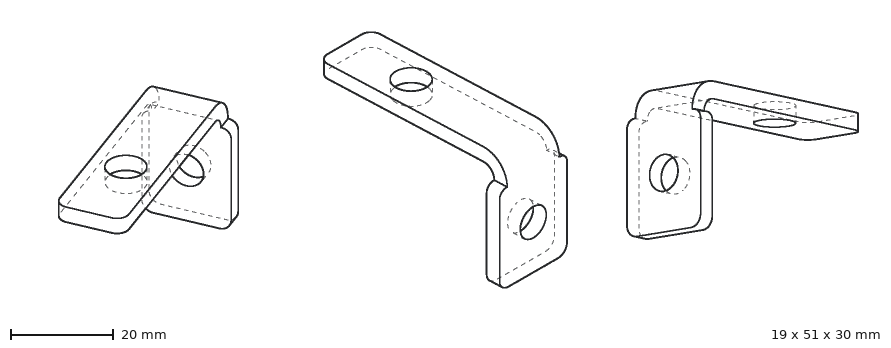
import cadquery as cq

length = 51.0
height = 30.0
thickness = 3.5
plate_width = 19.0
strap_width = 14.7

outer_bend_radius = 6.5
inner_bend_radius = outer_bend_radius - thickness
corner_radius = 2.5
shoulder_radius = 2.0

plate_hole_diameter = 7.3
strap_hole_diameter = 8.2
strap_hole_from_end = 17.95

plate_height = height - outer_bend_radius
plate_hole_z = plate_height / 2



def bent_strap():
    """Horizontal strap with a quarter bend ending at the top of the plate."""
    underside = height - thickness
    bend_start = length - outer_bend_radius
    strap = (
        cq.Workplane("YZ")
        .moveTo(0, underside)
        .lineTo(bend_start, underside)
        .radiusArc((length - thickness, plate_height), inner_bend_radius)
        .lineTo(length, plate_height)
        .radiusArc((bend_start, height), -outer_bend_radius)
        .lineTo(0, height)
        .close()
        .extrude(strap_width / 2, both=True)
    )
    return strap.edges("|Z and <Y").fillet(corner_radius)


def upright_plate():
    """Wider vertical plate with rounded corners."""
    plate = cq.Workplane("XY").box(
        plate_width, thickness, plate_height, centered=(True, False, False)
    ).translate((0, length - thickness, 0))
    plate = plate.edges("|Y and <Z").fillet(corner_radius)
    return plate.edges("|Y and >Z").fillet(shoulder_radius)


def plate_hole():
    """Cutter through the plate along Y."""
    return (
        cq.Workplane("XZ", origin=(0, length, plate_hole_z))
        .circle(plate_hole_diameter / 2)
        .extrude(thickness)
    )


def strap_hole():
    """Cutter through the strap along Z."""
    return (
        cq.Workplane("XY", origin=(0, strap_hole_from_end, height))
        .circle(strap_hole_diameter / 2)
        .extrude(-thickness)
    )


result = bent_strap().union(upright_plate()).cut(plate_hole()).cut(strap_hole())